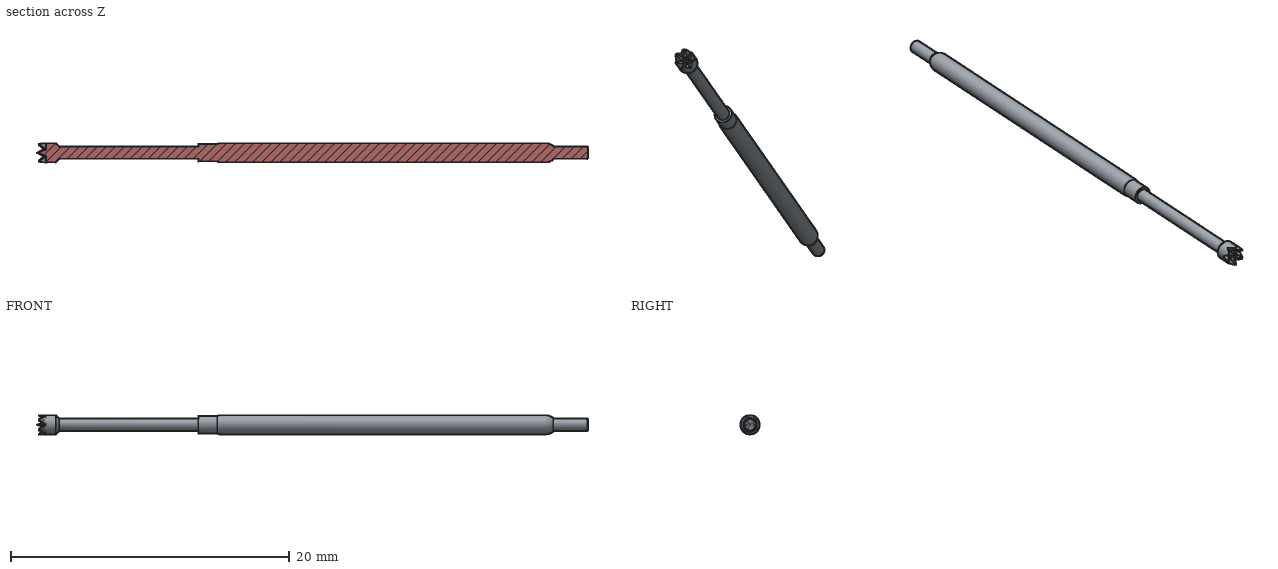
import cadquery as cq
import math

overall_length = 39.62

head_radius = 0.7
head_end = 1.6
crown_point_setback = 0.15
crown_depth = 0.65
crown_valley_radius = 0.25
crown_point_radius = 0.66
tip_flat_radius = 0.005
tooth_count = 6
notch_mouth_width = 0.74

shaft_radius = 0.46
head_back_chamfer = head_radius - shaft_radius

collar_start = 11.6
collar_end = 12.97
collar_radius = 0.64
barrel_radius = 0.7
barrel_front_length = 0.2
barrel_end = 37.12
barrel_end_radius = 0.5
nose_cone_angle = math.radians(30)
nose_round_radius = 0.68

tail_radius = 0.46
tail_chamfer = 0.06


def revolve_about_x(profile):
    """Close a half profile and turn it a full circle about the pin axis."""
    return profile.close().revolve(360, (0, 0, 0), (1, 0, 0))


def body():
    """Stepped round body; the barrel has a rounded front edge and a blended conical nose."""
    nose_round_drop = nose_round_radius * (1 - math.cos(nose_cone_angle))
    nose_cone_drop = barrel_radius - nose_round_drop - barrel_end_radius
    nose_cone_start = barrel_end - nose_cone_drop / math.tan(nose_cone_angle)
    nose_round_start = nose_cone_start - nose_round_radius * math.sin(nose_cone_angle)
    front_drop = barrel_radius - collar_radius
    front_round_radius = (barrel_front_length**2 + front_drop**2) / (2 * front_drop)
    front_half_angle = math.asin(barrel_front_length / front_round_radius) / 2
    barrel_front_end = collar_end + barrel_front_length
    front_round_middle = (
        barrel_front_end - front_round_radius * math.sin(front_half_angle),
        barrel_radius - front_round_radius * (1 - math.cos(front_half_angle)),
    )
    profile = (
        cq.Workplane("XY")
        .moveTo(0, 0)
        .lineTo(0, head_radius)
        .lineTo(head_end - head_back_chamfer, head_radius)
        .lineTo(head_end, shaft_radius)
        .lineTo(collar_start, shaft_radius)
        .lineTo(collar_start, collar_radius)
        .lineTo(collar_end, collar_radius)
        .threePointArc(front_round_middle, (barrel_front_end, barrel_radius))
        .lineTo(nose_round_start, barrel_radius)
        .tangentArcPoint((nose_cone_start, barrel_radius - nose_round_drop), relative=False)
        .lineTo(barrel_end, barrel_end_radius)
        .lineTo(barrel_end, tail_radius)
        .lineTo(overall_length - tail_chamfer, tail_radius)
        .lineTo(overall_length, tail_radius - tail_chamfer)
        .lineTo(overall_length, 0)
    )
    return revolve_about_x(profile)


def crown_recess():
    """Funnel-shaped cut that leaves a sharp-edged rim, set back from the tip."""
    profile = (
        cq.Workplane("XY")
        .moveTo(0, 0)
        .lineTo(crown_depth, 0)
        .lineTo(crown_depth, crown_valley_radius)
        .lineTo(crown_point_setback, crown_point_radius)
        .lineTo(crown_point_setback, head_radius)
        .lineTo(0, head_radius)
    )
    return revolve_about_x(profile)


def centre_point():
    """Six-sided pyramid on the axis, rising from the recess floor to a tiny flat at the tip."""
    base_flat_radius = crown_valley_radius * math.cos(math.pi / tooth_count)
    taper = math.degrees(math.atan((base_flat_radius - tip_flat_radius) / crown_depth))
    return (
        cq.Workplane("YZ", origin=(crown_depth, 0, 0))
        .polygon(tooth_count, 2 * crown_valley_radius)
        .extrude(-crown_depth, taper=taper)
    )


def rim_notch(angle):
    """V-shaped notch through the rim, running outward from the valley circle."""
    return (
        cq.Workplane("XZ", origin=(0, -crown_valley_radius, 0))
        .moveTo(0, -notch_mouth_width / 2)
        .lineTo(crown_depth, 0)
        .lineTo(0, notch_mouth_width / 2)
        .close()
        .extrude(head_radius)
        .rotate((0, 0, 0), (1, 0, 0), angle)
    )


tooth_pitch = 360 / tooth_count

result = body().cut(crown_recess())
for index in range(tooth_count):
    result = result.cut(rim_notch(index * tooth_pitch))
result = result.union(centre_point())